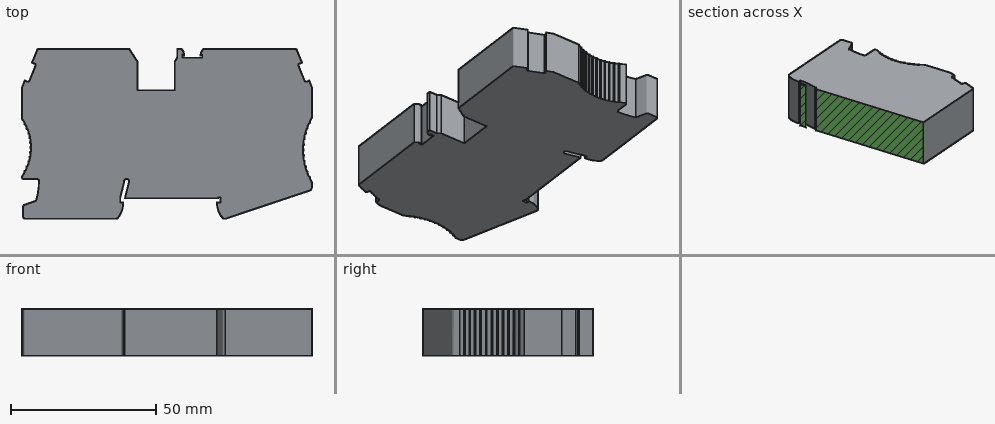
import cadquery as cq
import math

LENGTH = 100.0
HEIGHT = 58.6
THICKNESS = 16.2

SHOULDER_TOP_INSET = 5.4
SHOULDER_EDGE_FILLET = 0.6
LIP_INSET = 3.4
LIP_Y = 53.8
NOTCH_TOP_INSET = 4.6
NOTCH_TOP_Y = 53.35
NOTCH_BEND_Y = 52.7
NOTCH_FOOT_INSET = 2.45
NOTCH_FOOT_Y = 47.4
NOTCH_FLOOR_INSET = 2.0
NOTCH_FLOOR_Y = 47.3
STUB_INSET = 0.95
STUB_Y = 47.75
END_FACE_TOP_Y = 45.3
END_FACE_FILLET = 1.5

GRIP_DEPTH = 3.1
LEFT_GRIP_TOP_Y = 34.5
LEFT_GRIP_BOTTOM_Y = 14.7
RIGHT_GRIP_TOP_Y = 34.9
RIGHT_GRIP_BOTTOM_Y = 12.6
RIDGE_RADIUS = 0.25
RIDGE_COUNT = 11
LEFT_RIDGE_PITCH = 1.7
RIGHT_RIDGE_PITCH = 1.95

WELL_LEFT = 39.85
WELL_RIGHT = 52.65
WELL_FLOOR_Y = 44.35
WELL_LEFT_BEVEL_X = 37.0
WELL_BEVEL_Y = 54.2
POST_LEFT = 53.5
POST_BEVEL_Y = 55.65

POCKET_LEFT = 55.35
POCKET_RIGHT = 62.15
POCKET_FLOOR_Y = 55.55
POCKET_LIP = 0.65
POCKET_LIP_Y = 56.3
POCKET_UNDERCUT_Y = 56.65
POCKET_MOUTH_LEFT = 55.0
POCKET_MOUTH_RIGHT = 62.55
POCKET_MOUTH_BULGE = 0.25

RAIL_Y = 7.05
HOOK_Y = 5.7
SLOT_WIDTH = 1.6
SLOT_FOOT_X = 33.9
SLOT_FOOT_Y = 7.2
SLOT_RISE = 5.5
SLOT_RUN = 1.35
SLOT_TIP_Y = 13.75
LEFT_HOOK_X = 34.95
LEFT_HOOK_FOOT_X = 32.8
LEFT_HOOK_MID = (34.4, 2.6)
LEFT_HOOK_FILLET = 1.2
RIGHT_HOOK_X = 67.2
RIGHT_HOOK_FOOT_X = 69.4
RIGHT_HOOK_MID = (68.0, 2.0)
RIGHT_HOOK_FILLET = 1.0
RELIEF_LEFT = 67.7
RELIEF_RIGHT = 68.4
RELIEF_TOP_Y = 7.4

SLOPE_START_X = 70.1
SLOPE_END_Y = 10.0
SLOPE_CORNER_FILLET = 1.5

FOOT_NOTCH_TOP_Y = 13.7
FOOT_NOTCH_DEPTH = 5.85
FOOT_NOTCH_MID = (5.65, 10.2)
FOOT_NOTCH_LOW = (4.85, 6.3)
FOOT_NOTCH_FILLET = 0.6
FOOT_INSET = 0.35
FOOT_TOP_Y = 4.7
FOOT_FILLET = 0.8
NOSE_FILLET = 0.6
NOSE_TOP_FILLET = 1.2

MARGIN = 2.0


def prism(wire):
    """Extrude a closed XY outline through the full thickness."""
    return wire.close().extrude(THICKNESS)


def polygon(points):
    return prism(cq.Workplane("XY").polyline(points))


def fillet_edge_at(body, x, y, radius):
    """Round the vertical edge nearest to (x, y)."""
    point = (x, y, THICKNESS / 2)
    return body.edges("|Z").edges(cq.selectors.NearestToPointSelector(point)).fillet(radius)


def shoulder_cutter():
    """Material removed outside the left shoulder."""
    return polygon([
        (SHOULDER_TOP_INSET, HEIGHT),
        (LIP_INSET, LIP_Y),
        (NOTCH_TOP_INSET, NOTCH_TOP_Y),
        (NOTCH_TOP_INSET, NOTCH_BEND_Y),
        (NOTCH_FOOT_INSET, NOTCH_FOOT_Y),
        (NOTCH_FLOOR_INSET, NOTCH_FLOOR_Y),
        (STUB_INSET, STUB_Y),
        (0, END_FACE_TOP_Y),
        (-MARGIN, END_FACE_TOP_Y),
        (-MARGIN, HEIGHT + MARGIN),
        (SHOULDER_TOP_INSET, HEIGHT + MARGIN),
    ])


def mirror_end(body):
    """Move a left-end shape to the right end."""
    return body.mirror("YZ").translate((LENGTH, 0, 0))


def grip_cutter(top_y, bottom_y, ridge_pitch):
    """Circular-arc scallop for the left end, less the ridges standing on its surface."""
    half_chord = (top_y - bottom_y) / 2
    radius = (half_chord**2 + GRIP_DEPTH**2) / (2 * GRIP_DEPTH)
    center_x = GRIP_DEPTH - radius
    center_y = (top_y + bottom_y) / 2
    cutter = cq.Workplane("XY").center(center_x, center_y).circle(radius).extrude(THICKNESS)
    for index in range(RIDGE_COUNT):
        angle = (index - (RIDGE_COUNT - 1) / 2) * ridge_pitch / radius
        ridge_x = center_x + radius * math.cos(angle)
        ridge_y = center_y + radius * math.sin(angle)
        ridge = cq.Workplane("XY").center(ridge_x, ridge_y).circle(RIDGE_RADIUS).extrude(THICKNESS)
        cutter = cutter.cut(ridge)
    return cutter


def well_cutter():
    return polygon([
        (WELL_LEFT_BEVEL_X, HEIGHT),
        (WELL_LEFT, WELL_BEVEL_Y),
        (WELL_LEFT, WELL_FLOOR_Y),
        (WELL_RIGHT, WELL_FLOOR_Y),
        (WELL_RIGHT, WELL_BEVEL_Y),
        (POST_LEFT, POST_BEVEL_Y),
        (POST_LEFT, HEIGHT),
    ])


def pocket_cutter():
    lip_left = POCKET_LEFT + POCKET_LIP
    lip_right = POCKET_RIGHT - POCKET_LIP
    mouth_mid_y = (HEIGHT + POCKET_LIP_Y) / 2
    left_mid_x = (POCKET_MOUTH_LEFT + lip_left) / 2 + POCKET_MOUTH_BULGE
    right_mid_x = (POCKET_MOUTH_RIGHT + lip_right) / 2 - POCKET_MOUTH_BULGE
    return prism(
        cq.Workplane("XY")
        .moveTo(POCKET_MOUTH_LEFT, HEIGHT)
        .threePointArc((left_mid_x, mouth_mid_y), (lip_left, POCKET_LIP_Y))
        .lineTo(POCKET_LEFT, POCKET_UNDERCUT_Y)
        .lineTo(POCKET_LEFT, POCKET_FLOOR_Y)
        .lineTo(POCKET_RIGHT, POCKET_FLOOR_Y)
        .lineTo(POCKET_RIGHT, POCKET_UNDERCUT_Y)
        .lineTo(lip_right, POCKET_LIP_Y)
        .threePointArc((right_mid_x, mouth_mid_y), (POCKET_MOUTH_RIGHT, HEIGHT))
    )


def rail_cutter():
    """Rail recess between the two hooks, including the spring slot."""
    slot_left_x = SLOT_FOOT_X + SLOT_RUN
    slot_shoulder_y = SLOT_FOOT_Y + SLOT_RISE
    slot_right_x = slot_left_x + SLOT_WIDTH
    slot_foot_right_x = SLOT_FOOT_X + SLOT_WIDTH + SLOT_RUN * (RAIL_Y - SLOT_FOOT_Y) / SLOT_RISE
    return prism(
        cq.Workplane("XY")
        .moveTo(LEFT_HOOK_FOOT_X, 0)
        .threePointArc(LEFT_HOOK_MID, (LEFT_HOOK_X, HOOK_Y))
        .lineTo(SLOT_FOOT_X, HOOK_Y)
        .lineTo(SLOT_FOOT_X, SLOT_FOOT_Y)
        .lineTo(slot_left_x, slot_shoulder_y)
        .threePointArc((slot_left_x + SLOT_WIDTH / 2, SLOT_TIP_Y), (slot_right_x, slot_shoulder_y))
        .lineTo(slot_foot_right_x, RAIL_Y)
        .lineTo(RELIEF_LEFT, RAIL_Y)
        .lineTo(RELIEF_LEFT, RELIEF_TOP_Y)
        .lineTo(RELIEF_RIGHT, RELIEF_TOP_Y)
        .lineTo(RELIEF_RIGHT, HOOK_Y)
        .lineTo(RIGHT_HOOK_X, HOOK_Y)
        .threePointArc(RIGHT_HOOK_MID, (RIGHT_HOOK_FOOT_X, 0))
    )


def slope_cutter():
    return polygon([(SLOPE_START_X, 0), (LENGTH, SLOPE_END_Y), (LENGTH, 0)])


def foot_cutter():
    """Notch above the left foot and the slight setback of the foot's end face."""
    return prism(
        cq.Workplane("XY")
        .moveTo(-MARGIN, FOOT_NOTCH_TOP_Y)
        .lineTo(FOOT_NOTCH_DEPTH, FOOT_NOTCH_TOP_Y)
        .threePointArc(FOOT_NOTCH_MID, FOOT_NOTCH_LOW)
        .lineTo(FOOT_INSET, FOOT_TOP_Y)
        .lineTo(FOOT_INSET, 0)
        .lineTo(-MARGIN, 0)
    )


def build():
    body = cq.Workplane("XY").box(LENGTH, HEIGHT, THICKNESS, centered=False)

    body = body.cut(shoulder_cutter())
    body = body.cut(mirror_end(shoulder_cutter()))
    for corner_x in (SHOULDER_TOP_INSET, LENGTH - SHOULDER_TOP_INSET):
        body = fillet_edge_at(body, corner_x, HEIGHT, SHOULDER_EDGE_FILLET)
    for end_x in (0, LENGTH):
        body = fillet_edge_at(body, end_x, END_FACE_TOP_Y, END_FACE_FILLET)

    body = body.cut(well_cutter())
    body = body.cut(pocket_cutter())
    body = body.cut(rail_cutter())
    body = fillet_edge_at(body, LEFT_HOOK_FOOT_X, 0, LEFT_HOOK_FILLET)

    body = body.cut(slope_cutter())
    body = fillet_edge_at(body, LENGTH, SLOPE_END_Y, SLOPE_CORNER_FILLET)
    body = fillet_edge_at(body, RIGHT_HOOK_FOOT_X, 0, RIGHT_HOOK_FILLET)

    body = body.cut(foot_cutter())
    body = fillet_edge_at(body, FOOT_NOTCH_DEPTH, FOOT_NOTCH_TOP_Y, FOOT_NOTCH_FILLET)
    body = fillet_edge_at(body, FOOT_INSET, FOOT_TOP_Y, FOOT_FILLET)
    body = fillet_edge_at(body, FOOT_INSET, 0, FOOT_FILLET)
    body = fillet_edge_at(body, 0, FOOT_NOTCH_TOP_Y, NOSE_FILLET)

    body = body.cut(grip_cutter(LEFT_GRIP_TOP_Y, LEFT_GRIP_BOTTOM_Y, LEFT_RIDGE_PITCH))
    body = fillet_edge_at(body, 0, LEFT_GRIP_BOTTOM_Y, NOSE_TOP_FILLET)
    right_grip = grip_cutter(RIGHT_GRIP_TOP_Y, RIGHT_GRIP_BOTTOM_Y, RIGHT_RIDGE_PITCH)
    return body.cut(mirror_end(right_grip))


result = build()